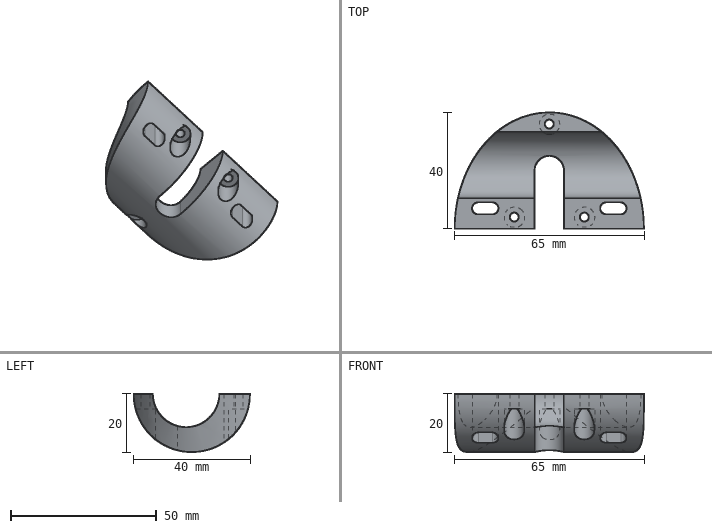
import cadquery as cq

length = 65.0
body_depth = 40.0
body_radius = body_depth / 2
front_y = -body_radius

bore_radius = 11.4
bore_offset = 1.95

slot_width = 10.0

screw_diameter = 3.0
counterbore_diameter = 7.0
screw_seat_z = -5.0
screw_edge_distance = 4.0
front_screw_x = 12.0

strap_slot_length = 9.0
strap_slot_width = 4.0
strap_slot_x = 22.0
strap_slot_edge_distance = 7.0


def cylinder_along_x(radius, center_y):
    return (
        cq.Workplane("YZ", origin=(-length / 2, 0, 0))
        .center(center_y, 0)
        .circle(radius)
        .extrude(length)
    )


def half_ellipse_block():
    """Prism below Z = 0 whose plan is half an ellipse with its flat edge at the front."""
    ellipse = (
        cq.Workplane("XY")
        .center(0, front_y)
        .ellipse(length / 2, body_depth)
        .extrude(-body_radius)
    )
    bounding_block = cq.Workplane("XY").box(length, body_depth, body_radius).translate((0, 0, -body_radius / 2))
    return ellipse.intersect(bounding_block)


def open_slot():
    round_end = cq.Workplane("XY").circle(slot_width / 2).extrude(-body_radius)
    straight = (
        cq.Workplane("XY")
        .center(0, front_y / 2)
        .rect(slot_width, body_radius)
        .extrude(-body_radius)
    )
    return round_end.union(straight)


def screw_holes():
    front_screw_y = front_y + screw_edge_distance
    centers = [
        (-front_screw_x, front_screw_y),
        (front_screw_x, front_screw_y),
        (0, body_radius - screw_edge_distance),
    ]
    shanks = cq.Workplane("XY").pushPoints(centers).circle(screw_diameter / 2).extrude(-body_radius)
    counterbores = (
        cq.Workplane("XY")
        .workplane(offset=screw_seat_z)
        .pushPoints(centers)
        .circle(counterbore_diameter / 2)
        .extrude(-body_radius)
    )
    return shanks.union(counterbores)


def strap_slots():
    slot_y = front_y + strap_slot_edge_distance
    return (
        cq.Workplane("XY")
        .pushPoints([(-strap_slot_x, slot_y), (strap_slot_x, slot_y)])
        .slot2D(strap_slot_length, strap_slot_width)
        .extrude(-body_radius)
    )


result = cylinder_along_x(body_radius, 0).intersect(half_ellipse_block())
result = result.cut(cylinder_along_x(bore_radius, bore_offset))
result = result.cut(open_slot())
result = result.cut(screw_holes())
result = result.cut(strap_slots())